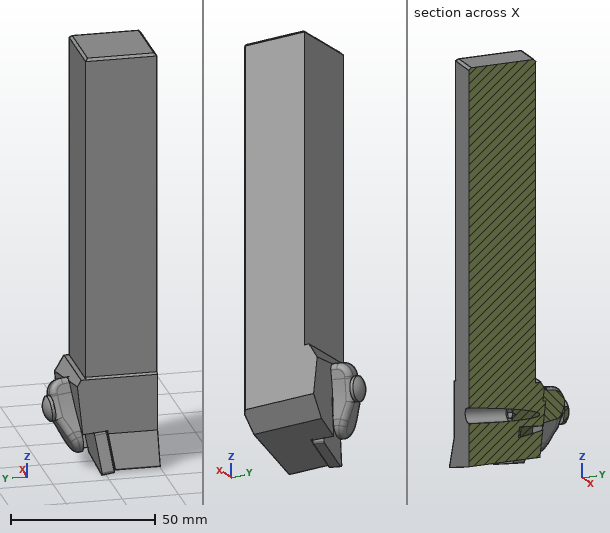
import cadquery as cq
import math


total_length = 151.9
shank_side = 25.4
top_chamfer = 0.9
edge_chamfer = 1.2
head_width = 26.5
head_top = 34.0
step_rise = 0.6
flank_top = 13.5
holder_tip = (-30.7, 1.2)
heel = (-7.3, 8.5)
heel_top = 15.0
tip_radius = 0.3
head_stock_depth = 36.5

tilt_x = 0.09
tilt_z = 0.11
back_corner_y = 28.5
back_corner_z = 31.7
bevel_start_y = 27.2

insert_angle = 55.0
insert_turn = 45.0
insert_side = 15.2
insert_thickness = 4.4
nose_radius = 0.8
tip_x = -31.3
tip_y = 20.7
half_angle_sine = math.sin(math.radians(insert_angle / 2))
apex_overhang = nose_radius * (math.sin(math.radians(insert_turn)) / half_angle_sine - 1)
insert_apex = (tip_x - apex_overhang, tip_y, -apex_overhang)
pocket_side = 22.8

shim_thickness = 0.6
shim_side = 14.0

screw_x = -16.5
screw_z = 22.0
screw_diameter = 5.5
head_diameter = 9.1
rim_height = 1.2
screw_top = 10.3
screw_end = -12.2
socket_across_corners = 4.0
socket_depth = 3.0

clamp_turn = 22.0
nose_reach = 17.0
tail_reach = 9.4
clamp_height = 7.3
nose_height = 2.5
tail_side_height = 2.5
clamp_half_width = 5.0
tail_half_width = 3.6
shoulder_start = -9.9
shoulder_end = 4.0
waist_half_width = 4.0
clamp_edge_radius = 2.1

key_width = 2.5
key_depth = 1.0
key_length = 3.8

max_lean = 72.0

cut_size = 91.1


def back_y(x, z):
    """Y of the tilted head back at a given X and Z."""
    return back_corner_y + tilt_x * (x + head_width) + tilt_z * (z - back_corner_z)


def tilted_plane(origin, turn):
    """Plane parallel to the head back, its X axis turned by `turn` degrees from +Z towards +X."""
    along_x = math.sin(math.radians(turn))
    along_z = math.cos(math.radians(turn))
    x_direction = (along_x, tilt_x * along_x + tilt_z * along_z, along_z)
    return cq.Plane(origin=origin, xDir=x_direction, normal=(-tilt_x, 1, -tilt_z))


insert_plane = tilted_plane(insert_apex, insert_turn)
clamp_plane = tilted_plane((screw_x, back_y(screw_x, screw_z), screw_z), clamp_turn)
clamp_side_plane = cq.Plane(
    origin=clamp_plane.origin, xDir=clamp_plane.xDir, normal=-clamp_plane.yDir
)


def rhombus(side):
    """Rhombus on the rake plane, its far corner always at the inner corner of the pocket."""
    half_angle = math.radians(insert_angle / 2)
    half_length = side * math.cos(half_angle)
    half_width = side * math.sin(half_angle)
    near_corner = 2 * (insert_side - side) * math.cos(half_angle)
    corners = [
        (near_corner, 0),
        (near_corner + half_length, half_width),
        (near_corner + 2 * half_length, 0),
        (near_corner + half_length, -half_width),
    ]
    return cq.Workplane(insert_plane).polyline(corners).close()


def make_shank():
    height = total_length - head_top
    shank = cq.Workplane("XY", origin=(0, 0, head_top)).box(
        shank_side, shank_side, height, centered=False
    )
    shank = shank.translate((-shank_side, 0, 0))
    return shank.faces(">Z").edges().chamfer(top_chamfer)


def make_head():
    outline = [
        (0, head_top),
        (-head_width, head_top),
        (-head_width, flank_top),
        holder_tip,
        heel,
        (0, heel_top),
    ]
    head = cq.Workplane("XZ").polyline(outline).close().extrude(-head_stock_depth)
    head = head.edges("|Y and <Z").fillet(tip_radius)
    behind_back = cq.Workplane(clamp_plane).rect(cut_size, cut_size).extrude(cut_size)
    bevel_run = back_corner_y - bevel_start_y
    bevel_drop = head_top - back_corner_z
    bevel_reach = head_stock_depth - bevel_start_y
    bevel = (
        cq.Workplane("YZ")
        .moveTo(bevel_start_y, head_top)
        .line(bevel_reach, -bevel_reach * bevel_drop / bevel_run)
        .line(0, bevel_reach * bevel_drop / bevel_run)
        .close()
        .extrude(-head_width)
    )
    return head.cut(behind_back).cut(bevel)


def make_step():
    """Sloped step from the shank side out to the wider head."""
    corners = [(-shank_side, head_top), (-head_width, head_top), (-shank_side, head_top + step_rise)]
    return cq.Workplane("XZ").polyline(corners).close().extrude(-shank_side)


def make_edge_chamfer():
    """Wedge that takes off the front right edge over the full height."""
    corners = [(0, 0), (-edge_chamfer, 0), (0, edge_chamfer)]
    return cq.Workplane("XY").polyline(corners).close().extrude(total_length)


def make_pocket():
    """Space of insert and shim, open past the outer insert flanks and through the head back."""
    pocket = rhombus(pocket_side).extrude(cut_size)
    return pocket.translate(insert_plane.zDir * -(insert_thickness + shim_thickness))


def make_key():
    """Rib under the clamp tail, which sits in a groove of the head back."""
    key_centre = tail_reach - key_length / 2
    return (
        cq.Workplane(clamp_plane)
        .center(key_centre, 0)
        .rect(key_length, key_width)
        .extrude(-key_depth)
    )


def make_screw_hole():
    return (
        cq.Workplane(clamp_plane)
        .circle(screw_diameter / 2)
        .extrude(cut_size / 2, both=True)
    )


def make_holder():
    holder = make_shank().union(make_head()).union(make_step())
    holder = holder.cut(make_edge_chamfer()).cut(make_pocket())
    return holder.cut(make_screw_hole()).cut(make_key())


def make_insert():
    insert = rhombus(insert_side).extrude(-insert_thickness)
    return insert.edges(cq.selectors.ParallelDirSelector(insert_plane.zDir)).fillet(nose_radius)


def make_shim():
    shim = rhombus(shim_side).extrude(-shim_thickness)
    return shim.translate(insert_plane.zDir * -insert_thickness)


def upper_rim(body):
    """Edges around all faces that look away from the head back, without those between them."""
    upward = clamp_plane.zDir
    least_rise = math.cos(math.radians(max_lean))
    edges = []
    for face in body.faces().vals():
        if face.normalAt().dot(upward) > least_rise:
            edges.extend(face.Edges())
    return [edge for edge in edges if sum(edge.isSame(other) for other in edges) == 1]


def make_clamp():
    """Side profile crossed with the plan outline, so that both show on the finished clamp."""
    seat_half = head_diameter / 2
    shoulder_middle = (shoulder_start + shoulder_end) / 2
    profile = (
        cq.Workplane(clamp_side_plane)
        .moveTo(-nose_reach, 0)
        .lineTo(tail_reach, 0)
        .lineTo(tail_reach, tail_side_height)
        .tangentArcPoint((seat_half, clamp_height), relative=False)
        .lineTo(-seat_half, clamp_height)
        .lineTo(-nose_reach, nose_height)
        .close()
        .extrude(clamp_half_width, both=True)
    )
    plan = (
        cq.Workplane(clamp_plane)
        .moveTo(tail_reach, tail_half_width)
        .lineTo(shoulder_end, tail_half_width)
        .threePointArc((shoulder_middle, waist_half_width), (shoulder_start, clamp_half_width))
        .lineTo(clamp_half_width - nose_reach, clamp_half_width)
        .threePointArc((-nose_reach, 0), (clamp_half_width - nose_reach, -clamp_half_width))
        .lineTo(shoulder_start, -clamp_half_width)
        .threePointArc((shoulder_middle, -waist_half_width), (shoulder_end, -tail_half_width))
        .lineTo(tail_reach, -tail_half_width)
        .close()
        .extrude(clamp_height)
    )
    body = profile.intersect(plan)
    body = body.newObject(upper_rim(body)).fillet(clamp_edge_radius)
    return body.union(make_key()).cut(make_screw_hole())


def make_screw():
    """Round-headed screw with a hexagon socket in its lower end, revolved about its axis."""
    head_radius = head_diameter / 2
    shank_radius = screw_diameter / 2
    rim_top = clamp_height + rim_height
    dome_height = screw_top - rim_top
    dome_radius = (head_radius**2 + dome_height**2) / (2 * dome_height)
    half_sweep = math.asin(head_radius / dome_radius) / 2
    dome_middle = (
        dome_radius * math.sin(half_sweep),
        screw_top - dome_radius * (1 - math.cos(half_sweep)),
    )
    screw = (
        cq.Workplane(clamp_side_plane)
        .moveTo(0, screw_end)
        .lineTo(shank_radius, screw_end)
        .lineTo(shank_radius, clamp_height)
        .lineTo(head_radius, clamp_height)
        .lineTo(head_radius, rim_top)
        .threePointArc(dome_middle, (0, screw_top))
        .close()
        .revolve(axisStart=(0, 0), axisEnd=(0, 1))
    )
    socket = (
        cq.Workplane(clamp_plane)
        .workplane(offset=screw_end)
        .polygon(6, socket_across_corners)
        .extrude(socket_depth)
    )
    return screw.cut(socket)


holder = make_holder()
shim = make_shim()
insert = make_insert()
clamp = make_clamp()
clamp_screw = make_screw()

bodies = [holder, shim, insert, clamp, clamp_screw]
result = cq.Compound.makeCompound([body.val() for body in bodies])